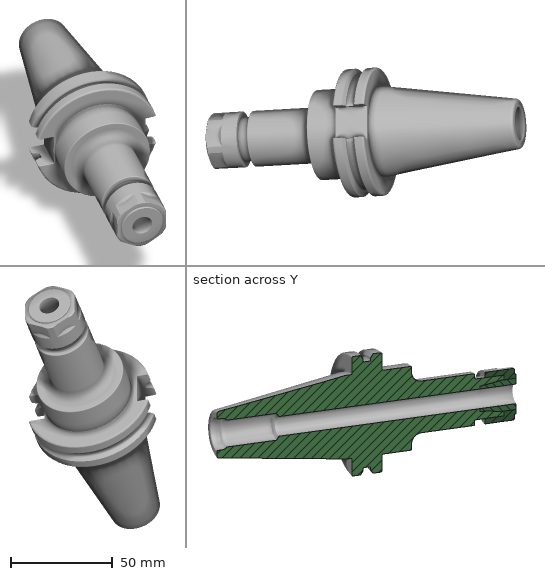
import cadquery as cq
import math


overall_length = 158.2
edge_round = 0.5
match_gap = 0.02

gauge_dia = 44.5
gauge_x = 68.2
taper_ratio = 7 / 24
tail_round = 1.6
shoulder_end_x = 103.0
shank_dia = 27.5
shank_end_x = 136.3
shank_fillet = 5.0
neck_dia = 21.8
neck_end_x = 151.9

flange_dia = 63.3
flange_start_x = 71.2
flange_end_x = 87.4
flange_round = 1.0
groove_center_x = (flange_start_x + flange_end_x) / 2
groove_mouth = 6.3
groove_floor_dia = 56.0
groove_floor_width = 3.8
groove_wall_angle = 30.0
slot_width = 16.3
slot_floor_front = 22.5
slot_floor_back = 24.8
slot_edge_chamfer = 0.24

pilot_dia = 16.3
pilot_round = 0.6
pilot_depth = 3.0
relief_dia = 15.7
relief_end_x = 4.6
thread_dia = 14.0
thread_end_x = 31.6
lead_angle = 45.0
drill_tip_angle = 60.0
through_dia = 10.1

collet_dia = 16.8
collet_bore_dia = through_dia
collet_start_x = 139.3
collet_head_x = 152.7
collet_taper_angle = 8.0

nut_dia = shank_dia
nut_start_x = 141.5
flats_start_x = 149.4
flats_width = 25.3
flats_shoulder_run = 1.6
nut_face_x = 157.3
nut_face_dia = 26.0
nut_chamfer_length = 0.5
lip_dia = 21.5
lip_chamfer = 0.3


def turned(outline):
    """Solid of revolution about X from an outline drawn as (x, radius)."""
    return outline.close().revolve(360, (0, 0, 0), (1, 0, 0))


def rod(dia, start_x, end_x):
    """Plain cylinder on the X axis."""
    return cq.Workplane("YZ", origin=(start_x, 0, 0)).circle(dia / 2).extrude(end_x - start_x)


def cone_length(large_dia, small_dia, half_angle):
    """Axial length of a cone between two diameters."""
    return (large_dia - small_dia) / 2 / math.tan(math.radians(half_angle))


def round_rim(solid, x, dia, size):
    """Fillet the circular edge of one diameter that lies at one X."""

    def is_rim(edge):
        if edge.geomType() != "CIRCLE":
            return False
        return math.isclose(edge.Center().x, x, abs_tol=match_gap) and math.isclose(
            edge.radius(), dia / 2, abs_tol=match_gap
        )

    return solid.edges().filter(is_rim).fillet(size)


def make_flange():
    """Rounded disc with a V-groove that ends in a narrow straight-walled channel."""
    rim_r = flange_dia / 2
    wall_run = (groove_mouth - groove_floor_width) / 2
    wall_r = rim_r - wall_run / math.tan(math.radians(groove_wall_angle))
    floor_start_x = groove_center_x - groove_floor_width / 2
    floor_end_x = groove_center_x + groove_floor_width / 2
    disc = rod(flange_dia, flange_start_x, flange_end_x).edges().fillet(flange_round)
    groove = turned(
        cq.Workplane("XY")
        .moveTo(groove_center_x - groove_mouth / 2, rim_r)
        .lineTo(floor_start_x, wall_r)
        .lineTo(floor_start_x, groove_floor_dia / 2)
        .lineTo(floor_end_x, groove_floor_dia / 2)
        .lineTo(floor_end_x, wall_r)
        .lineTo(groove_center_x + groove_mouth / 2, rim_r)
    )
    for x in (floor_start_x, floor_end_x):
        groove = round_rim(groove, x, groove_floor_dia, edge_round)
    return disc.cut(groove)


def make_slot(side, floor_y):
    """Cutter for a drive slot on one side of the flange."""
    depth = flange_dia / 2 - floor_y
    center_y = side * (floor_y + depth / 2)
    slot = cq.Workplane("XY").box(flange_end_x - flange_start_x, depth, slot_width)
    return slot.translate((groove_center_x, center_y, 0))


def chamfer_slot_edges(holder):
    """Break the slot walls' edges along the flange faces and rim, but not those in the groove."""

    def is_slot_edge(edge):
        center = edge.Center()
        on_wall = math.isclose(abs(center.z), slot_width / 2, abs_tol=match_gap)
        in_flange = flange_start_x - match_gap < center.x < flange_end_x + match_gap
        beside_groove = abs(center.x - groove_center_x) > groove_mouth / 2
        above_floor = center.y < -slot_floor_front - match_gap or center.y > slot_floor_back + match_gap
        return on_wall and in_flange and beside_groove and above_floor

    return holder.edges().filter(is_slot_edge).chamfer(slot_edge_chamfer)


def make_holder_blank():
    gauge_r = gauge_dia / 2
    tail_r = gauge_r - gauge_x * taper_ratio / 2
    shank_r = shank_dia / 2
    body = turned(
        cq.Workplane("XY")
        .moveTo(0, 0)
        .lineTo(0, tail_r)
        .lineTo(gauge_x, gauge_r)
        .lineTo(shoulder_end_x, gauge_r)
        .lineTo(shoulder_end_x, shank_r)
        .lineTo(shank_end_x, shank_r)
        .lineTo(shank_end_x, neck_dia / 2)
        .lineTo(neck_end_x, neck_dia / 2)
        .lineTo(neck_end_x, 0)
    )
    body = round_rim(body, 0, 2 * tail_r, tail_round)
    body = round_rim(body, shoulder_end_x, shank_dia, shank_fillet)
    for x, dia in ((shoulder_end_x, gauge_dia), (shank_end_x, shank_dia), (shank_end_x, neck_dia)):
        body = round_rim(body, x, dia, edge_round)
    blank = body.union(make_flange())
    return round_rim(blank, flange_end_x, gauge_dia, edge_round)


def make_bore():
    """Stepped bore from the narrow end: rounded mouth, pilot, thread and drilled through hole."""
    pilot_r = pilot_dia / 2
    round_inset = pilot_round * (1 - math.sqrt(0.5))
    lead_end_x = relief_end_x + cone_length(relief_dia, thread_dia, lead_angle)
    tip_end_x = thread_end_x + cone_length(thread_dia, through_dia, drill_tip_angle)
    return turned(
        cq.Workplane("XY")
        .moveTo(0, 0)
        .lineTo(0, pilot_r + pilot_round)
        .threePointArc((round_inset, pilot_r + round_inset), (pilot_round, pilot_r))
        .lineTo(pilot_depth, pilot_r)
        .lineTo(relief_end_x, relief_dia / 2)
        .lineTo(lead_end_x, thread_dia / 2)
        .lineTo(thread_end_x, thread_dia / 2)
        .lineTo(tip_end_x, through_dia / 2)
        .lineTo(collet_start_x, through_dia / 2)
        .lineTo(collet_start_x, 0)
    )


def make_collet_envelope():
    """Collet without its bore; it also shapes the seats in the holder and the nut."""
    taper_drop = (collet_head_x - collet_start_x) * math.tan(math.radians(collet_taper_angle))
    return turned(
        cq.Workplane("XY")
        .moveTo(collet_start_x, 0)
        .lineTo(collet_start_x, collet_dia / 2 - taper_drop)
        .lineTo(collet_head_x, collet_dia / 2)
        .lineTo(overall_length, collet_dia / 2)
        .lineTo(overall_length, 0)
    )


def make_holder():
    holder = make_holder_blank()
    slots = make_slot(-1, slot_floor_front).union(make_slot(1, slot_floor_back))
    holder = chamfer_slot_edges(holder.cut(slots))
    return holder.cut(make_bore()).cut(make_collet_envelope())


def make_collet():
    return make_collet_envelope().cut(rod(collet_bore_dia, collet_start_x, overall_length))


def make_nut():
    nut_r = nut_dia / 2
    flats_r = flats_width / 2
    shoulder_end = flats_start_x + flats_shoulder_run
    rear = turned(
        cq.Workplane("XY")
        .moveTo(nut_start_x, 0)
        .lineTo(nut_start_x, nut_r)
        .lineTo(flats_start_x, nut_r)
        .lineTo(shoulder_end, flats_r)
        .lineTo(shoulder_end, 0)
    )
    round_front = turned(
        cq.Workplane("XY")
        .moveTo(flats_start_x, 0)
        .lineTo(flats_start_x, nut_r)
        .lineTo(nut_face_x - nut_chamfer_length, nut_r)
        .lineTo(nut_face_x, nut_face_dia / 2)
        .lineTo(nut_face_x, 0)
    )
    hexagon = (
        cq.Workplane("YZ", origin=(flats_start_x, 0, 0))
        .polygon(6, flats_width, circumscribed=True)
        .extrude(nut_face_x - flats_start_x)
    )
    lip = rod(lip_dia, nut_face_x, overall_length).faces(">X").chamfer(lip_chamfer)
    nut = rear.union(round_front.intersect(hexagon)).union(lip)
    return nut.cut(rod(neck_dia, nut_start_x, neck_end_x)).cut(make_collet_envelope())


holder = make_holder()
collet = make_collet()
nut = make_nut()

result = cq.Compound.makeCompound([holder.val(), collet.val(), nut.val()])